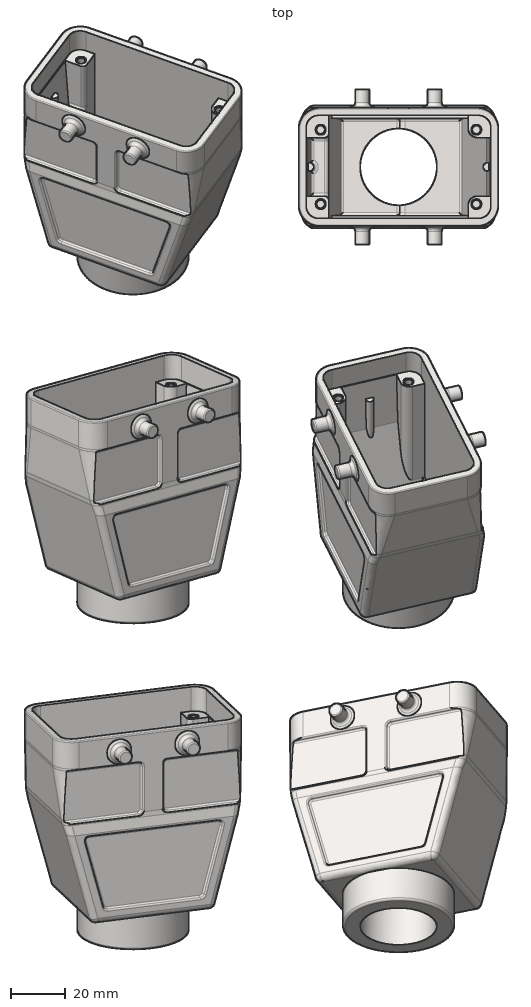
import cadquery as cq
import math

TOTAL_HEIGHT = 85.0
NECK_HEIGHT = 13.1
SHOULDER_TOP = 48.7
WAIST_HEIGHT = 53.5
RIM_BOTTOM = 73.9

RIM_HALF_X = 36.6
RIM_HALF_Y = 21.6
RIM_CORNER = 7.6
WAIST_HALF_X = 34.8
WAIST_CORNER = 2.8
LOWER_HALF_Y = 22.5
LOWER_CORNER = 2.55
SIDE_SLOPE = 0.27
BASE_EDGE_FILLET = 2.4
RIM_EDGE_FILLET = 0.4
WAIST_BLEND = 0.95
RIM_BLEND = 0.45

NECK_DIAMETER = 41.0
NECK_EDGE_FILLET = 0.9
BORE_DIAMETER = 28.0

PIN_X = 13.25
PIN_HEIGHT = 79.0
PIN_RADIUS = 2.65
PIN_TIP_Y = 28.5
PIN_EMBED = 0.6
PIN_TIP_FILLET = 0.5
PIN_FOOT_RADIUS = 4.75
PIN_CONE_RADIUS = 3.74
PIN_CONE_HEIGHT = 0.55
PIN_ROOT_HEIGHT = 2.0
PIN_HOLLOW_RADIUS = 2.95
PIN_HOLLOW_HEIGHT = 1.1

PANEL_DEPTH = 1.3
PANEL_EDGE_FILLET = 0.65
PANEL_RIM_FILLET = 0.98 * PANEL_EDGE_FILLET
PANEL_CORNER = 1.6
PANEL_CLEARANCE = 0.5
UPPER_PANEL_INNER_X = 4.1
UPPER_PANEL_BOTTOM = 53.6
UPPER_PANEL_TOP = 73.6
UPPER_PANEL_OVERRUN = 5.0
LOWER_PANEL_TOP = 47.5
LOWER_PANEL_BOTTOM = 18.4
LOWER_PANEL_SIDE_MARGIN = 6.0

MOUTH_HALF_X = 33.8
MOUTH_HALF_Y = 18.85
MOUTH_CORNER = 4.5
POST_TOP = 75.5
POST_FACE_X = 25.5
POST_FACE_Y = 10.7
LEFT_POST_CORNER = 1.6
RIGHT_POST_CORNER = 3.4
WELL_LEDGE_HALF_Y = 17.9
WELL_FLOOR_HALF_Y = 17.6
WELL_FLOOR_FILLET = 1.0
POCKET_TOP_HALF_X = 33.5
POCKET_WAIST_HALF_X = 32.1
SHELF_HEIGHT = 54.0
SHELF_FILLET = 1.2
LEFT_FLOOR = 16.5
RIGHT_FLOOR = 19.5
RIGHT_POCKET_FLOOR = RIGHT_FLOOR + 1
FLOOR_STEP_X = 0.5
STEP_FOOT_FILLET = 1.1
STEP_CREST_FILLET = 1.8
LEFT_FLOOR_EDGE_X = -21.0

POST_HOLE_X = 28.5
POST_HOLE_Y = 13.6
POST_HOLE_DIAMETER = 3.0
POST_HOLE_DEPTH = 12.0
POST_HOLE_CHAMFER = 0.4
RIB_RADIUS = 1.5
RIB_CENTRE_X = 32.5
RIB_BACK_X = 33.4
RIB_FOOT_FILLET = 1.5
RIGHT_RIB_FOOT = 49.2
RIB_TOP = 67.4

SIDES = (-1, 1)
PICK = 0.1


def rounded_section(height, half_x, half_y, corner):
    """Horizontal wire: a rectangle with rounded corners."""
    outline = cq.Sketch().rect(2 * half_x, 2 * half_y).vertices().fillet(corner)
    return outline._faces.Faces()[0].outerWire().moved(cq.Location(cq.Vector(0, 0, height)))


def lower_half_x(height):
    """Half width of the lower body at a given height."""
    return WAIST_HALF_X - SIDE_SLOPE * (WAIST_HEIGHT - height)


def between(start, end, fraction):
    """Section part-way along the straight loft between two sections."""
    return tuple(a + fraction * (b - a) for a, b in zip(start, end))


def body_tier(lower, upper):
    """Straight loft between two sections, each given as height, half X, half Y and corner radius."""
    return cq.Workplane(cq.Solid.makeLoft([rounded_section(*lower), rounded_section(*upper)], True))


def make_body():
    base = (NECK_HEIGHT, lower_half_x(NECK_HEIGHT), LOWER_HALF_Y, LOWER_CORNER)
    shoulder = (SHOULDER_TOP, lower_half_x(SHOULDER_TOP), LOWER_HALF_Y, LOWER_CORNER)
    waist = (WAIST_HEIGHT, WAIST_HALF_X, RIM_HALF_Y, WAIST_CORNER)
    rim_bottom = (RIM_BOTTOM, RIM_HALF_X, RIM_HALF_Y, RIM_CORNER)
    rim_top = (TOTAL_HEIGHT, RIM_HALF_X, RIM_HALF_Y, RIM_CORNER)

    upper_height = RIM_BOTTOM - WAIST_HEIGHT
    waist_lower = between(waist, shoulder, WAIST_BLEND / (WAIST_HEIGHT - SHOULDER_TOP))
    waist_upper = between(waist, rim_bottom, WAIST_BLEND / upper_height)
    rim_lower = between(rim_bottom, waist, RIM_BLEND / upper_height)
    rim_upper = between(rim_bottom, rim_top, RIM_BLEND / (TOTAL_HEIGHT - RIM_BOTTOM))

    body = body_tier(base, shoulder).faces("<Z").edges().fillet(BASE_EDGE_FILLET)
    tiers = [shoulder, waist_lower, waist_upper, rim_lower, rim_upper]
    for lower, upper in zip(tiers, tiers[1:]):
        body = body.union(body_tier(lower, upper))
    body = body.union(body_tier(rim_upper, rim_top).faces(">Z").edges().fillet(RIM_EDGE_FILLET))
    neck = cq.Workplane().circle(NECK_DIAMETER / 2).extrude(NECK_HEIGHT)
    return body.union(neck.faces("<Z").edges().fillet(NECK_EDGE_FILLET))


def make_pin(x, side):
    """Round pin standing on the rim face with a flared foot."""
    half_section = (
        cq.Workplane("XY", origin=(0, RIM_HALF_Y, 0))
        .moveTo(0, -PIN_EMBED)
        .lineTo(PIN_FOOT_RADIUS, -PIN_EMBED)
        .lineTo(PIN_FOOT_RADIUS, 0)
        .lineTo(PIN_CONE_RADIUS, PIN_CONE_HEIGHT)
        .threePointArc((PIN_HOLLOW_RADIUS, PIN_HOLLOW_HEIGHT), (PIN_RADIUS, PIN_ROOT_HEIGHT))
        .lineTo(PIN_RADIUS, PIN_TIP_Y - RIM_HALF_Y)
        .lineTo(0, PIN_TIP_Y - RIM_HALF_Y)
        .close()
    )
    pin = half_section.revolve(360, (0, 0), (0, 1)).faces(">Y").edges().fillet(PIN_TIP_FILLET)
    if side < 0:
        pin = pin.mirror("XZ")
    return pin.translate((x, 0, PIN_HEIGHT))


def add_pins(part):
    for side in SIDES:
        for x_side in SIDES:
            part = part.union(make_pin(x_side * PIN_X, side))
    return part


def panel_cutter(outline, face_y):
    """Cutter for a panel in the back face, with rounded floor, rim and corner edges."""

    def prism(start_y, end_y, growth=0.0):
        plane = cq.Workplane("XZ", origin=(0, start_y, 0)).polyline(outline).close()
        block = plane.extrude(start_y - end_y).edges("|Y").fillet(PANEL_CORNER)
        if growth:
            wire = block.faces("<Y").wires().val().offset2D(growth)[0]
            block = cq.Workplane(cq.Solid.extrudeLinear(wire, [], cq.Vector(0, end_y - start_y, 0)))
        return block

    floor_y = face_y - PANEL_DEPTH
    recess = prism(floor_y, face_y).faces("<Y").edges().fillet(PANEL_EDGE_FILLET)
    flare_start = face_y - PANEL_EDGE_FILLET
    flare_block = prism(flare_start, face_y, 2 * PANEL_EDGE_FILLET)
    rounded_frame = flare_block.cut(prism(flare_start, face_y))
    inner_rim = rounded_frame.faces(">Y").val().innerWires()[0].Edges()
    rounded_frame = rounded_frame.newObject(inner_rim).fillet(PANEL_RIM_FILLET)
    flare = flare_block.cut(rounded_frame)
    opening = prism(face_y, face_y + PANEL_CLEARANCE, PANEL_EDGE_FILLET)
    return recess.union(flare).union(opening)


def cut_on_both_faces(part, cutter):
    return part.cut(cutter).cut(cutter.mirror("XZ"))


def cut_upper_panels(part):
    """Two panels per face, open toward the body sides, leaving a bar in the middle."""
    overrun_x = RIM_HALF_X + UPPER_PANEL_OVERRUN
    outline = [
        (UPPER_PANEL_INNER_X, UPPER_PANEL_BOTTOM),
        (overrun_x, UPPER_PANEL_BOTTOM),
        (overrun_x, UPPER_PANEL_TOP),
        (UPPER_PANEL_INNER_X, UPPER_PANEL_TOP),
    ]
    cutter = panel_cutter(outline, RIM_HALF_Y)
    part = cut_on_both_faces(part, cutter)
    return cut_on_both_faces(part, cutter.mirror("YZ"))


def cut_lower_panels(part):
    """Trapezoid panel on the front and back of the lower body."""
    top_x = lower_half_x(LOWER_PANEL_TOP) - LOWER_PANEL_SIDE_MARGIN
    bottom_x = lower_half_x(LOWER_PANEL_BOTTOM) - LOWER_PANEL_SIDE_MARGIN
    outline = [
        (-bottom_x, LOWER_PANEL_BOTTOM),
        (bottom_x, LOWER_PANEL_BOTTOM),
        (top_x, LOWER_PANEL_TOP),
        (-top_x, LOWER_PANEL_TOP),
    ]
    return cut_on_both_faces(part, panel_cutter(outline, LOWER_HALF_Y))


def zone_around(x, y, z):
    """Selects the edges centred in a small box around a point."""
    return cq.selectors.BoxSelector((x - PICK, y - PICK, z - PICK), (x + PICK, y + PICK, z + PICK))


def wall_prism(outline, half_y):
    """Prism with an XZ outline, centred on Y = 0."""
    return cq.Workplane("XZ", origin=(0, half_y, 0)).polyline(outline).close().extrude(2 * half_y)


def right_wall_x(height):
    """Inner face of the sloping right wall, parallel to the outside."""
    return POCKET_WAIST_HALF_X - SIDE_SLOPE * (WAIST_HEIGHT - height)


def make_well():
    """Central cavity between the posts, with a stepped floor and ledged, drafted long walls."""
    left_knee = LEFT_FLOOR + (POST_FACE_X + LEFT_FLOOR_EDGE_X) / SIDE_SLOPE
    right_knee = WAIST_HEIGHT - (POCKET_WAIST_HALF_X - POST_FACE_X) / SIDE_SLOPE
    outline = [
        (-POST_FACE_X, POST_TOP),
        (-POST_FACE_X, left_knee),
        (LEFT_FLOOR_EDGE_X, LEFT_FLOOR),
        (FLOOR_STEP_X, LEFT_FLOOR),
        (FLOOR_STEP_X, RIGHT_FLOOR),
        (right_wall_x(RIGHT_FLOOR), RIGHT_FLOOR),
        (POST_FACE_X, right_knee),
        (POST_FACE_X, POST_TOP),
    ]
    cross_section = [
        (-WELL_FLOOR_HALF_Y, LEFT_FLOOR),
        (WELL_FLOOR_HALF_Y, LEFT_FLOOR),
        (WELL_LEDGE_HALF_Y, right_knee),
        (MOUTH_HALF_Y, right_knee),
        (MOUTH_HALF_Y, POST_TOP),
        (-MOUTH_HALF_Y, POST_TOP),
        (-MOUTH_HALF_Y, right_knee),
        (-WELL_LEDGE_HALF_Y, right_knee),
    ]
    profile = wall_prism(outline, MOUTH_HALF_Y)
    steps = ((LEFT_FLOOR, STEP_FOOT_FILLET), (RIGHT_FLOOR, STEP_CREST_FILLET))
    for height, radius in steps:
        profile = profile.edges("|Y").edges(zone_around(FLOOR_STEP_X, 0, height)).fillet(radius)
    drafted = (
        cq.Workplane("YZ", origin=(-POST_FACE_X, 0, 0))
        .polyline(cross_section)
        .close()
        .extrude(2 * POST_FACE_X)
    )
    well = profile.intersect(drafted)

    floor_zone = cq.selectors.BoxSelector(
        (LEFT_FLOOR_EDGE_X - 1, -WELL_LEDGE_HALF_Y, LEFT_FLOOR - PICK),
        (POST_FACE_X, WELL_LEDGE_HALF_Y, RIGHT_FLOOR + PICK),
    )
    step_reach = STEP_FOOT_FILLET + STEP_CREST_FILLET
    across_step = cq.selectors.BoxSelector(
        (FLOOR_STEP_X - step_reach, -1, LEFT_FLOOR - PICK),
        (FLOOR_STEP_X + step_reach, 1, RIGHT_FLOOR + PICK),
    )
    return well.edges(floor_zone - across_step).fillet(WELL_FLOOR_FILLET)


def make_side_pockets():
    """Pockets between the posts: a shelf on the left, a full-depth sloping wall on the right."""
    left_outline = [
        (0, POST_TOP),
        (-POCKET_TOP_HALF_X, POST_TOP),
        (-POCKET_WAIST_HALF_X, SHELF_HEIGHT),
        (0, SHELF_HEIGHT),
    ]
    right_outline = [
        (0, POST_TOP),
        (POCKET_TOP_HALF_X, POST_TOP),
        (POCKET_WAIST_HALF_X, WAIST_HEIGHT),
        (right_wall_x(RIGHT_POCKET_FLOOR), RIGHT_POCKET_FLOOR),
        (0, RIGHT_POCKET_FLOOR),
    ]
    left = wall_prism(left_outline, POST_FACE_Y)
    left = left.faces("<Z").edges("not >X").fillet(SHELF_FILLET)
    return left.union(wall_prism(right_outline, POST_FACE_Y))


def make_cavity():
    """Whole interior: well, side pockets with rounded post corners, and the open mouth."""
    cavity = make_well().union(make_side_pockets())
    for side, radius in zip(SIDES, (LEFT_POST_CORNER, RIGHT_POST_CORNER)):
        x = side * POST_FACE_X
        zone = cq.selectors.BoxSelector(
            (x - PICK, -POST_FACE_Y - PICK, 0), (x + PICK, POST_FACE_Y + PICK, TOTAL_HEIGHT)
        )
        cavity = cavity.edges("|Z").edges(zone).fillet(radius)
    mouth_sections = [
        rounded_section(z, MOUTH_HALF_X, MOUTH_HALF_Y, MOUTH_CORNER) for z in (POST_TOP, TOTAL_HEIGHT)
    ]
    return cavity.union(cq.Workplane(cq.Solid.makeLoft(mouth_sections, True)))


def cut_post_holes(part):
    """Blind hole with a small countersink in the top of each post."""
    radius = POST_HOLE_DIAMETER / 2
    hole = (
        cq.Workplane("XZ")
        .moveTo(0, POST_TOP)
        .lineTo(radius + POST_HOLE_CHAMFER, POST_TOP)
        .lineTo(radius, POST_TOP - POST_HOLE_CHAMFER)
        .lineTo(radius, POST_TOP - POST_HOLE_DEPTH)
        .lineTo(0, POST_TOP - POST_HOLE_DEPTH)
        .close()
        .revolve(360, (0, 0), (0, 1))
    )
    for x_side in SIDES:
        for y_side in SIDES:
            part = part.cut(hole.translate((x_side * POST_HOLE_X, y_side * POST_HOLE_Y, 0)))
    return part


def guide_rib(foot):
    return cq.Workplane(origin=(0, 0, foot)).circle(RIB_RADIUS).extrude(RIB_TOP - foot)


def flared_foot():
    """Hollow-sided foot that widens the left rib where it stands on the shelf."""
    foot_radius = RIB_RADIUS + RIB_FOOT_FILLET
    hollow_inset = RIB_FOOT_FILLET * (1 - math.sqrt(0.5))
    return (
        cq.Workplane("XZ", origin=(0, 0, SHELF_HEIGHT))
        .lineTo(foot_radius, 0)
        .threePointArc((RIB_RADIUS + hollow_inset, hollow_inset), (RIB_RADIUS, RIB_FOOT_FILLET))
        .lineTo(0, RIB_FOOT_FILLET)
        .close()
        .revolve(360, (0, 0), (0, 1))
    )


def add_guide_ribs(part):
    """Half-round rib up the middle of each side wall, embedded in the wall."""
    clip = cq.Workplane().box(2 * RIB_BACK_X, 2 * RIM_HALF_Y, 2 * TOTAL_HEIGHT)
    left_rib = guide_rib(SHELF_HEIGHT).union(flared_foot()).translate((-RIB_CENTRE_X, 0, 0))
    right_rib = guide_rib(RIGHT_RIB_FOOT).translate((RIB_CENTRE_X, 0, 0))
    return part.union(left_rib.intersect(clip)).union(right_rib.intersect(clip))


def cut_bore(part):
    """Cable passage from the neck into the well."""
    bore_top = RIGHT_FLOOR + 1
    return part.cut(cq.Workplane().circle(BORE_DIAMETER / 2).extrude(bore_top))


result = make_body()
result = cut_upper_panels(result)
result = cut_lower_panels(result)
result = add_pins(result)
result = result.cut(make_cavity())
result = add_guide_ribs(result)
result = cut_post_holes(result)
result = cut_bore(result)